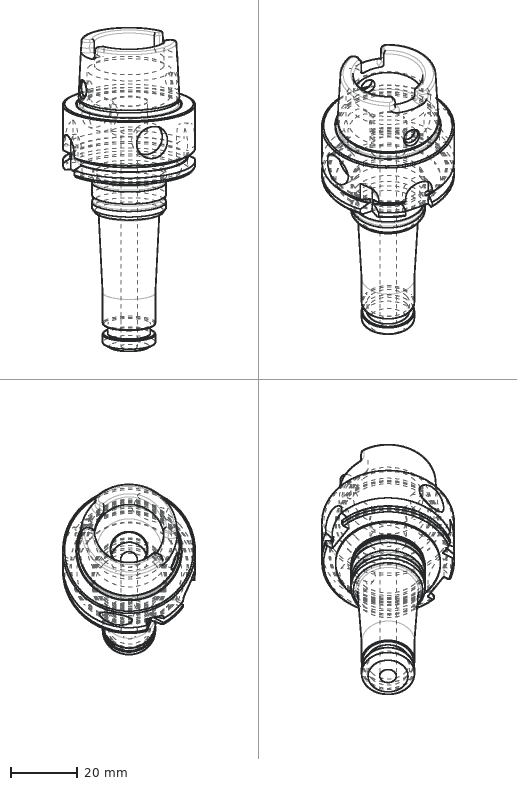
import cadquery as cq
import math

total_height = 96.0

taper_top_radius = 14.4
taper_base_radius = 15.3
taper_base_z = 78.0
rim_round = 0.8
relief_radius = 14.9
relief_top_z = 77.1
bore_radius = 21.0 / 2
clamp_radius = 12.8
clamp_shoulder_z = 87.9
clamp_cone_height = 1.3
clamp_floor_z = 76.8
clamp_floor_round = 3.0
socket_radius = 5.5
socket_depth = 9.6
socket_chamfer = 0.2
coolant_radius = 2.5

flange_radius = 40.0 / 2
flange_top_z = 75.8
flange_bottom_z = 55.9
flange_top_chamfer_width = 0.6
flange_top_chamfer_height = 0.3
flange_bottom_chamfer_width = 0.6
flange_bottom_chamfer_height = 0.8
face_recess_radius = 16.0
face_recess_depth = 0.3
gripper_shoulder_radius = 17.9
gripper_radius = 17.5
gripper_top_z = 62.0
gripper_bottom_z = 58.1
gripper_floor_top_z = 60.8
gripper_floor_bottom_z = 59.3
hub_radius = 15.8
hub_bottom_z = 55.3

collar_radius = 11.2
collar_bottom_z = 42.3
collar_chamfer_width = 0.8
collar_chamfer_height = 1.2
undercut_bottom_z = 54.2
ring_grooves = ((51.4, 0.3), (45.2, 0.6))
ring_groove_floor_height = 1.2
ring_groove_lower_bevel = 0.6
ring_groove_edge_depth = 0.2
ring_groove_depth = 0.4

stem_top_radius = 9.2
stem_root_round = 0.6
stub_radius = 16.0 / 2
stem_bottom_z = 16.9
stub_shoulder_z = 7.0
stub_neck_radius = 13.0 / 2
stub_head_top_z = 4.0
stub_edge_chamfer = 0.3
nose_radius = 6.0
nose_height = 1.2

slot_half_width = 3.9
slot_corner_round = 1.8
slot_floor_round = 1.2
slot_depths = {-1: 3.6, 1: 5.8}
slot_mid_radius = (bore_radius + taper_top_radius) / 2
edge_tolerance = 0.01

cross_hole_radius = 2.3
cross_hole_z = 82.0
cross_sink_radius = 2.9

keyway_radius = 4.5
keyway_center_z = 63.5
keyway_floor = 17.1
notch_face = 12.0

pocket_radius = 5.0
pocket_z = 68.8
pocket_floor_radius = 15.0
pocket_angles = (0.0, 190.0)


def ring_groove(profile, bottom_z, upper_bevel):
    """Add a shallow groove with beveled edges and a hollow floor, going down the collar."""
    edge_radius = collar_radius - ring_groove_edge_depth
    floor_radius = collar_radius - ring_groove_depth
    floor_bottom_z = bottom_z + ring_groove_lower_bevel
    floor_top_z = floor_bottom_z + ring_groove_floor_height
    return (
        profile.lineTo(collar_radius, floor_top_z + upper_bevel)
        .lineTo(edge_radius, floor_top_z)
        .threePointArc((floor_radius, (floor_top_z + floor_bottom_z) / 2), (edge_radius, floor_bottom_z))
        .lineTo(collar_radius, bottom_z)
    )


def turned_body():
    """Revolve the outside of the holder together with its stepped bore."""
    round_mid = 1 - math.sqrt(0.5)
    clamp_round_z = clamp_floor_z + clamp_floor_round
    socket_floor_z = clamp_floor_z - socket_depth
    undercut_radius = collar_radius - ring_groove_edge_depth
    undercut_mid_z = (hub_bottom_z + undercut_bottom_z) / 2
    recess_floor_z = flange_top_z - face_recess_depth

    profile = (
        cq.Workplane("XZ")
        .moveTo(coolant_radius, 0)
        .lineTo(coolant_radius, socket_floor_z)
        .lineTo(socket_radius, socket_floor_z)
        .lineTo(socket_radius, clamp_floor_z - socket_chamfer)
        .lineTo(socket_radius + socket_chamfer, clamp_floor_z)
        .lineTo(clamp_radius - clamp_floor_round, clamp_floor_z)
        .threePointArc(
            (clamp_radius - round_mid * clamp_floor_round, clamp_floor_z + round_mid * clamp_floor_round),
            (clamp_radius, clamp_round_z),
        )
        .lineTo(clamp_radius, clamp_shoulder_z - clamp_cone_height)
        .lineTo(bore_radius, clamp_shoulder_z)
        .lineTo(bore_radius, total_height)
        .lineTo(taper_top_radius, total_height)
        .lineTo(taper_base_radius, taper_base_z)
        .lineTo(relief_radius, relief_top_z)
        .lineTo(relief_radius, flange_top_z)
        .threePointArc(
            (relief_radius + round_mid * face_recess_depth, recess_floor_z + round_mid * face_recess_depth),
            (relief_radius + face_recess_depth, recess_floor_z),
        )
        .lineTo(face_recess_radius - face_recess_depth, recess_floor_z)
        .lineTo(face_recess_radius, flange_top_z)
        .lineTo(flange_radius - flange_top_chamfer_width, flange_top_z)
        .lineTo(flange_radius, flange_top_z - flange_top_chamfer_height)
        .lineTo(flange_radius, gripper_top_z)
        .lineTo(gripper_shoulder_radius, gripper_floor_top_z)
        .lineTo(gripper_radius, gripper_floor_top_z)
        .lineTo(gripper_radius, gripper_floor_bottom_z)
        .lineTo(gripper_shoulder_radius, gripper_floor_bottom_z)
        .lineTo(flange_radius, gripper_bottom_z)
        .lineTo(flange_radius, flange_bottom_z + flange_bottom_chamfer_height)
        .lineTo(flange_radius - flange_bottom_chamfer_width, flange_bottom_z)
        .lineTo(hub_radius, flange_bottom_z)
        .lineTo(hub_radius, hub_bottom_z)
        .lineTo(undercut_radius, hub_bottom_z)
        .threePointArc(
            (collar_radius - ring_groove_depth, undercut_mid_z),
            (collar_radius, undercut_bottom_z),
        )
    )
    for bottom_z, upper_bevel in ring_grooves:
        profile = ring_groove(profile, bottom_z, upper_bevel)
    profile = (
        profile.lineTo(collar_radius, collar_bottom_z + collar_chamfer_height)
        .lineTo(collar_radius - collar_chamfer_width, collar_bottom_z)
        .lineTo(stem_top_radius + stem_root_round, collar_bottom_z)
        .threePointArc(
            (stem_top_radius + round_mid * stem_root_round, collar_bottom_z - round_mid * stem_root_round),
            (stem_top_radius, collar_bottom_z - stem_root_round),
        )
        .lineTo(stub_radius, stem_bottom_z)
        .lineTo(stub_radius, stub_shoulder_z + stub_edge_chamfer)
        .lineTo(stub_radius - stub_edge_chamfer, stub_shoulder_z)
        .lineTo(stub_neck_radius, stub_shoulder_z)
        .lineTo(stub_neck_radius, stub_head_top_z)
        .lineTo(stub_radius - stub_edge_chamfer, stub_head_top_z)
        .lineTo(stub_radius, stub_head_top_z - stub_edge_chamfer)
        .lineTo(stub_radius, nose_height)
        .lineTo(nose_radius, 0)
        .close()
    )
    return profile.revolve(360, (0, 0, 0), (0, 1, 0))


def drive_slot(side):
    """Cutter for the straight slot across one side of the rim."""
    depth = slot_depths[side]
    block = cq.Workplane("XY", origin=(0, 0, total_height - depth)).box(
        2 * slot_half_width, flange_radius, depth, centered=(True, False, False)
    )
    return block if side > 0 else block.mirror("XZ")


def slot_corner_edges(body):
    """Upright edges where the slot walls break out through the taper."""
    return [
        edge
        for edge in body.edges().vals()
        if math.isclose(abs(edge.Center().x), slot_half_width, abs_tol=edge_tolerance)
        and math.isclose(edge.BoundingBox().zmax, total_height, abs_tol=edge_tolerance)
        and math.hypot(edge.Center().x, edge.Center().y) > slot_mid_radius
        and edge.BoundingBox().zlen > edge_tolerance
    ]


def slot_floor_edges(body):
    """Level edges between the slot floors and the slot walls with their rounded corners."""
    taper_margin = taper_top_radius - edge_tolerance
    floor_heights = [total_height - depth for depth in slot_depths.values()]
    return [
        edge
        for edge in body.edges().vals()
        if any(math.isclose(edge.BoundingBox().zmax, z, abs_tol=edge_tolerance) for z in floor_heights)
        and edge.BoundingBox().zlen < edge_tolerance
        and abs(edge.Center().x) > slot_half_width - edge_tolerance
        and math.hypot(edge.Center().x, edge.Center().y) < taper_margin
    ]


def slotted_rim(body):
    """Cut both drive slots, then round their outer corners, the rim and their floors."""
    for side in slot_depths:
        body = body.cut(drive_slot(side))
    body = body.newObject(slot_corner_edges(body)).fillet(slot_corner_round)
    body = body.faces(">Z").edges().fillet(rim_round)
    return body.newObject(slot_floor_edges(body)).fillet(slot_floor_round)


def cross_hole():
    """Cutter for the hole along Y, countersunk where it leaves the taper on each side."""
    taper_slope = (taper_base_radius - taper_top_radius) / (total_height - taper_base_z)
    surface_y = taper_base_radius - taper_slope * (cross_hole_z - taper_base_z)
    half_length = taper_base_radius
    sink_start_y = surface_y - (cross_sink_radius - cross_hole_radius)
    sink_end_radius = cross_hole_radius + half_length - sink_start_y
    hole_profile = (
        cq.Workplane("XY")
        .lineTo(cross_hole_radius, 0)
        .lineTo(cross_hole_radius, sink_start_y)
        .lineTo(sink_end_radius, half_length)
        .lineTo(0, half_length)
        .close()
    )
    half = hole_profile.revolve(360, (0, 0, 0), (0, 1, 0))
    return half.union(half.mirror("XZ")).translate((0, 0, cross_hole_z))


def keyway(center_x, floor_y):
    """Cutter on the -Y side, open at the flange bottom, with a round top and a flat floor."""
    leg_height = keyway_center_z - flange_bottom_z
    return (
        cq.Workplane("XZ", origin=(center_x, -floor_y, flange_bottom_z))
        .moveTo(-keyway_radius, 0)
        .lineTo(keyway_radius, 0)
        .lineTo(keyway_radius, leg_height)
        .threePointArc((0, leg_height + keyway_radius), (-keyway_radius, leg_height))
        .close()
        .extrude(flange_radius)
    )


def side_pocket(angle):
    """Cutter for a flat-bottomed round pocket pointing at the axis from the given angle."""
    return (
        cq.Workplane("YZ", origin=(pocket_floor_radius, 0, pocket_z))
        .circle(pocket_radius)
        .extrude(flange_radius)
        .rotate((0, 0, 0), (0, 0, 1), angle)
    )


result = slotted_rim(turned_body())
result = result.cut(cross_hole())

front_keyway = keyway(0, keyway_floor)
result = result.cut(front_keyway).cut(front_keyway.mirror("XZ"))
result = result.cut(keyway(-notch_face - keyway_radius, notch_face))

for pocket_angle in pocket_angles:
    result = result.cut(side_pocket(pocket_angle))